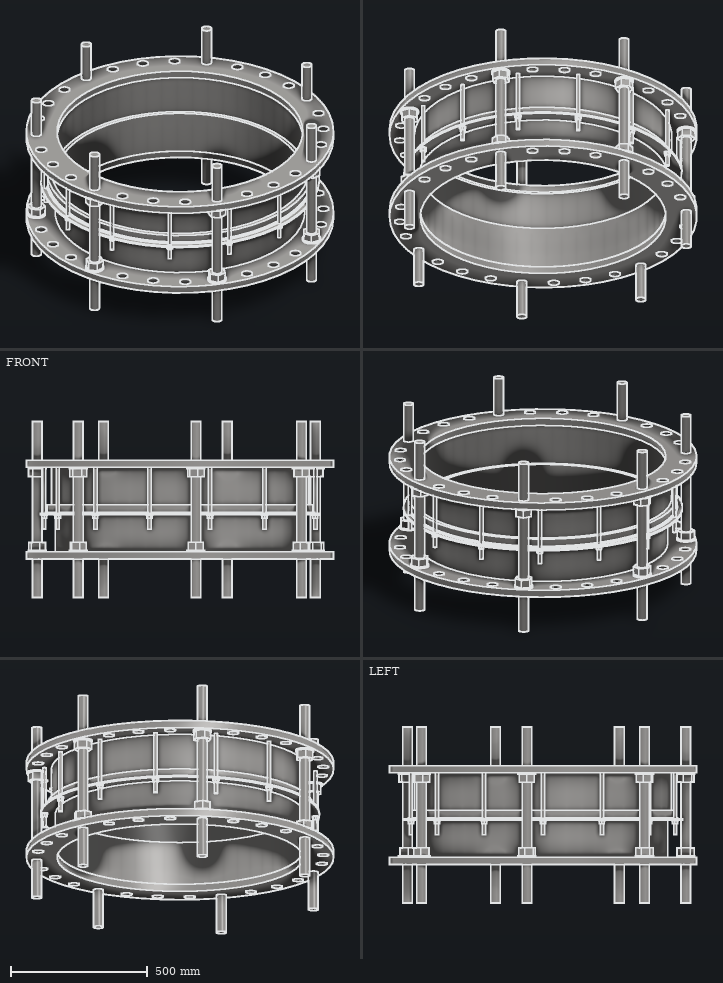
import cadquery as cq
import math


FLANGE_DIA = 1125.0
FLANGE_BORE_DIA = 899.0
FLANGE_THICKNESS = 27.0
FLANGE_FACE_Z = 181.0
FLANGE_INNER_Z = FLANGE_FACE_Z - FLANGE_THICKNESS
HOLE_COUNT = 28
HOLE_PITCH = 360 / HOLE_COUNT
HALF_PITCH = HOLE_PITCH / 2
HOLE_CIRCLE_RADIUS = 525.0
HOLE_DIA = 39.0

LOWER_PIPE_BORE_DIA = 898.0
LOWER_PIPE_DIA = 915.0
LOWER_PIPE_TOP_Z = 5.0
UPPER_PIPE_DIA = 942.0
UPPER_PIPE_BORE_DIA = 925.0

COLLAR_DIA = 974.0
COLLAR_TOP_Z = 18.0
COLLAR_BOTTOM_Z = -9.0
SEAL_DIA = 985.0
SEAL_BOTTOM_Z = -14.0
GLAND_DIA = 1022.0
GLAND_BOTTOM_Z = -19.0

NUT_SIDES = 6

ROD_STEP = 4
ROD_COUNT = HOLE_COUNT // ROD_STEP
ROD_DIA = 36.0
ROD_LENGTH = 645.0
FIRST_ROD_ANGLE = HALF_PITCH + HOLE_PITCH
ROD_ANGLES = [FIRST_ROD_ANGLE + i * ROD_STEP * HOLE_PITCH for i in range(ROD_COUNT)]
ROD_NUT_FLATS = 55.0
ROD_NUT_HEIGHT = 29.0
ROD_WASHER_DIA = 66.0
ROD_WASHER_THICKNESS = 5.0

STUD_COUNT = 14
STUD_CIRCLE_RADIUS = 496.0
STUD_DIA = 12.0
STUD_END_Z = -72.0
STUD_ANGLES = [i * 360 / STUD_COUNT for i in range(STUD_COUNT)]
STUD_NUT_FLATS = 18.0
STUD_NUT_HEIGHT = 10.0
STUD_NUT_CORNER_ANGLE = 30
STUD_WASHER_DIA = 24.0
STUD_WASHER_THICKNESS = 2.0


def cylinder(diameter, bottom_z, top_z):
    return cq.Workplane("XY").workplane(offset=bottom_z).circle(diameter / 2).extrude(top_z - bottom_z)


def ring(outer_dia, inner_dia, bottom_z, top_z):
    profile = cq.Workplane("XY").workplane(offset=bottom_z).circle(outer_dia / 2).circle(inner_dia / 2)
    return profile.extrude(top_z - bottom_z)


def hex_nut(flats, bottom_z, top_z, corner_angle):
    """Hexagonal prism on the Z axis with one corner at corner_angle from +X."""
    corner_dia = flats / math.cos(math.pi / NUT_SIDES)
    profile = cq.Workplane("XY").workplane(offset=bottom_z).polygon(NUT_SIDES, corner_dia)
    nut = profile.extrude(top_z - bottom_z)
    return nut.rotate((0, 0, 0), (0, 0, 1), corner_angle)


def place(body, radius, angle):
    """Move a body out along +X by radius, then swing it around the pipe axis."""
    return body.translate((radius, 0, 0)).rotate((0, 0, 0), (0, 0, 1), angle)


def flange(bottom_z):
    """Flat ring, drilled at every hole position not filled by a tie rod."""
    body = ring(FLANGE_DIA, FLANGE_BORE_DIA, bottom_z, bottom_z + FLANGE_THICKNESS)
    drill = cylinder(HOLE_DIA, bottom_z, bottom_z + FLANGE_THICKNESS)
    for i in range(HOLE_COUNT):
        if i % ROD_STEP != 0:
            body = body.cut(place(drill, HOLE_CIRCLE_RADIUS, FIRST_ROD_ANGLE + i * HOLE_PITCH))
    return body


def pipe_bodies():
    """Lower pipe, upper pipe with its collar, the seal filling the gap between them, and the gland."""
    return [
        ring(LOWER_PIPE_DIA, LOWER_PIPE_BORE_DIA, -FLANGE_INNER_Z, LOWER_PIPE_TOP_Z),
        ring(UPPER_PIPE_DIA, UPPER_PIPE_BORE_DIA, COLLAR_BOTTOM_Z, FLANGE_INNER_Z),
        ring(COLLAR_DIA, UPPER_PIPE_BORE_DIA, COLLAR_BOTTOM_Z, COLLAR_TOP_Z),
        ring(UPPER_PIPE_BORE_DIA, LOWER_PIPE_DIA, SEAL_BOTTOM_Z, LOWER_PIPE_TOP_Z),
        ring(SEAL_DIA, LOWER_PIPE_DIA, SEAL_BOTTOM_Z, COLLAR_BOTTOM_Z),
        ring(GLAND_DIA, LOWER_PIPE_DIA, GLAND_BOTTOM_Z, SEAL_BOTTOM_Z),
    ]


def tie_rod():
    """Rod with a washer and nut against the inner face of each flange."""
    washer_z = FLANGE_INNER_Z - ROD_WASHER_THICKNESS
    nut_z = washer_z - ROD_NUT_HEIGHT
    rod = cylinder(ROD_DIA, -ROD_LENGTH / 2, ROD_LENGTH / 2)
    rod = rod.union(cylinder(ROD_WASHER_DIA, washer_z, FLANGE_INNER_Z))
    rod = rod.union(cylinder(ROD_WASHER_DIA, -FLANGE_INNER_Z, -washer_z))
    rod = rod.union(hex_nut(ROD_NUT_FLATS, nut_z, washer_z, HALF_PITCH))
    return rod.union(hex_nut(ROD_NUT_FLATS, -washer_z, -nut_z, -HALF_PITCH))


def gland_stud():
    """Thin stud from the upper flange through the gland ring, with washer and nut below."""
    washer_z = GLAND_BOTTOM_Z - STUD_WASHER_THICKNESS
    nut_z = washer_z - STUD_NUT_HEIGHT
    stud = cylinder(STUD_DIA, STUD_END_Z, FLANGE_INNER_Z)
    stud = stud.union(cylinder(STUD_WASHER_DIA, washer_z, GLAND_BOTTOM_Z))
    return stud.union(hex_nut(STUD_NUT_FLATS, nut_z, washer_z, STUD_NUT_CORNER_ANGLE))


result = flange(FLANGE_INNER_Z).union(flange(-FLANGE_FACE_Z))
for body in pipe_bodies():
    result = result.union(body)
for angle in ROD_ANGLES:
    result = result.union(place(tie_rod(), HOLE_CIRCLE_RADIUS, angle))
for angle in STUD_ANGLES:
    result = result.union(place(gland_stud(), STUD_CIRCLE_RADIUS, angle))